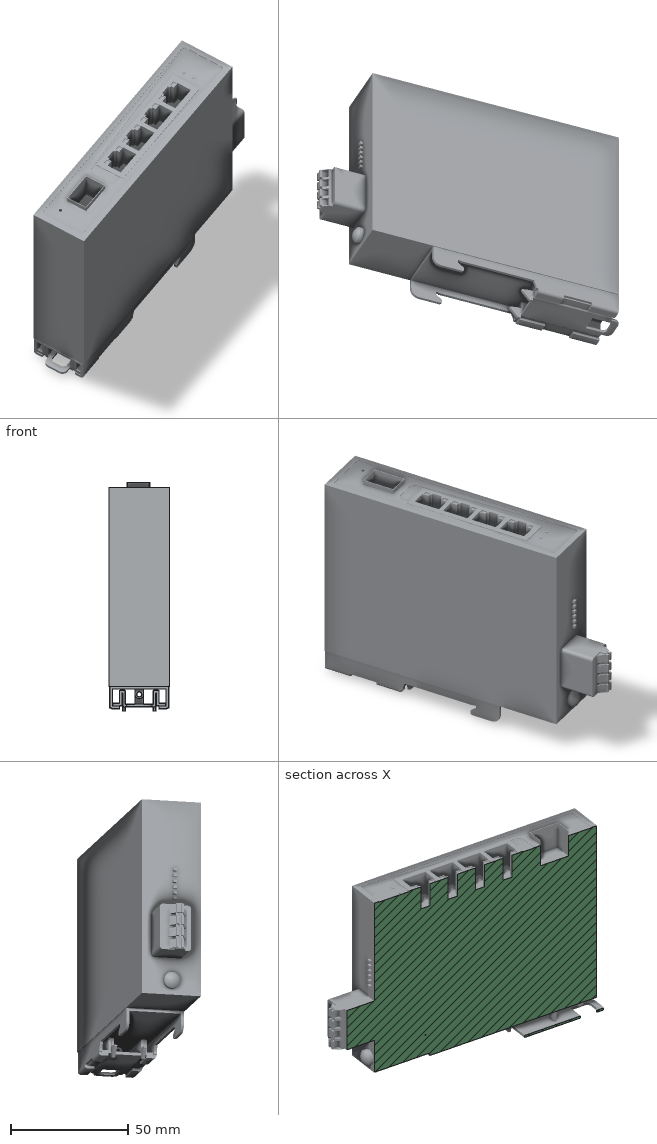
import cadquery as cq
import math

OVERALL_LENGTH = 137.4
WIDTH = 26.0
DEPTH = 114.3
HEIGHT = 85.0

PANEL_HALF_WIDTH = 10.6
PANEL_FRONT = 2.7
PANEL_BACK = 111.8
PANEL_CORNER = 1.2
LABEL_STEP = 0.1
TAPER_FRONT = 32.1
TAPER_HALF_FRONT = 6.3
TAPER_CORNER = 2.5
TAPER_BACK_INSET = 0.1
LAMP_DIAMETER = 1.4
LAMP_PLACES = [(-2.7, 100.4), (2.3, 100.4)]
RESET_PLACE = (-4.8, 8.7)
RESET_DEPTH = 2.7

FRAME_LEFT = -5.6
FRAME_RIGHT = 7.8
FRAME_FRONT = 37.6
FRAME_BACK = 96.6
JACK_COUNT = 4
JACK_PITCH = 14.0
FIRST_JACK_Y = 45.9
JACK_LENGTH = 12.0
JACK_LEFT = -1.5
JACK_RIGHT = 5.2
JACK_DEPTH = 11.0
KEY_LEFT = -3.0
KEY_LENGTH = 6.0
LATCH_LEFT = -4.0
LATCH_LENGTH = 4.4
JACK_LAMP_LEFT = -3.6
JACK_LAMP_LENGTH = 2.2
JACK_LAMP_OFFSET = 4.5
JACK_LAMP_GAP = 0.3
JACK_LAMP_DROP = 0.4

CAGE_LEFT = -5.2
CAGE_RIGHT = 4.5
CAGE_FRONT = 14.3
CAGE_BACK = 29.0
CAGE_RISE = 2.0
CAGE_WALL = 0.3
CAGE_DEPTH = 12.4

PLUG_LEFT = -5.2
PLUG_RIGHT = 8.9
PLUG_BOTTOM = 16.1
PLUG_TOP = 36.0
PLUG_BACK = 128.5
PLUG_STEP_BACK = 129.7
PLUG_CORNER = 1.5
RIDGE_BACK = 132.6
RIDGE_LEFT = -2.3
RIDGE_KNEE = 130.0
CREST_LEFT = -0.7
POCKET_FLOOR = -0.1
CREST_RIGHT = 2.3
RAMP_FOOT = 5.1
RIDGE_INSET = 0.3
TERMINAL_COUNT = 4
TERMINAL_PITCH = 5.1
TERMINAL_HEIGHT = 3.8
PRONG_WIDTH = 1.0

PIN_COUNT = 6
PIN_SPAN = 12.6
PIN_X = -1.4
PIN_TOP = 54.8
PIN_WIDTH = 1.6
PIN_HEIGHT = 1.2
PIN_LENGTH = 1.2
SCREW_Z = 6.0
SCREW_RADIUS = 3.6
SCREW_RIM = 1.8
SCREW_LENGTH = 3.7

SHEET = 1.2
BRACKET_HALF = 12.6
BRACKET_FRONT = -0.1
BRACKET_BACK = 86.0
WALL_BOTTOM = -8.0
LIP_BOTTOM = -9.6
LIP_INNER = 8.4
LIP_SPANS = [(BRACKET_FRONT, 12.2), (25.3, 37.1)]
HOOK_BOTTOM = -9.2
HOOK_RADIUS = 3.8
RAIL_SEAT = -4.1
HOOK_RELIEF = 0.3
HOOK_RELIEF_LENGTH = 1.4
HOOK_ROOT = (74.5, -5.4)
HOOK_TIP_Y = 71.7
HOOK_TIP_TOP = -7.3
HOOK_TIP_BOTTOM = -8.7
HOOK_TIP_BEVEL = 0.5
SEAT_FRONT = 39.2
SEAT_FOOT = (38.2, -6.9)

TRAY_TOP = -7.5
LEG_INNER = 5.9
FOLD_TOP = -1.6
FOLD_SLIT = 0.1
FLANGE_OUTER = 11.3
SLIDER_FRONT = 0.4
SLIDER_BACK = 37.1
LATCH_BOTTOM = -10.6
LATCH_TOP = -5.4
LATCH_TIP_FRONT = 37.5
LATCH_TIP_BACK = 38.7
LATCH_BACK = 42.5
LATCH_NOSE_TOP = -5.9
LATCH_NOSE_BOTTOM = -6.5
PULL_LENGTH = 3.8
PULL_HALF = 5.4
PULL_CORNER = 2.5
PULL_HOLE_HALF = 3.7
PULL_HOLE_FRONT = -1.0
PULL_HOLE_BACK = 8.2
PULL_HOLE_CHAMFER = 1.2
LUG_WIDTH = 3.7
LUG_HOLE = 2.0
LUG_Z = -3.5
ROOF_LUG_Y = 5.5
TRAY_LUG_Y = 19.2


def block(x0, x1, y0, y1, z0, z1):
    """Box between two opposite corners."""
    return cq.Workplane("XY").box(x1 - x0, y1 - y0, z1 - z0, centered=False).translate((x0, y0, z0))


def plate_yz(points, x0, x1):
    """Straight-sided (Y, Z) outline extruded from x0 to x1."""
    return cq.Workplane("YZ").polyline(points).close().extrude(x1 - x0).translate((x0, 0, 0))


def prism_xy(points, z0, z1):
    """Straight-sided (X, Y) outline extruded from z0 to z1."""
    return cq.Workplane("XY").polyline(points).close().extrude(z1 - z0).translate((0, 0, z0))


def both_sides(half):
    """The shape together with its mirror image across X = 0."""
    return half.union(half.mirror("YZ"))


def make_housing():
    body = block(-WIDTH / 2, WIDTH / 2, 0, DEPTH, 0, HEIGHT)
    panel = block(-PANEL_HALF_WIDTH, PANEL_HALF_WIDTH, PANEL_FRONT, PANEL_BACK, HEIGHT - LABEL_STEP, HEIGHT)
    panel = panel.edges("|Z").fillet(PANEL_CORNER)

    taper_half_back = PANEL_HALF_WIDTH - TAPER_BACK_INSET
    taper_back = PANEL_BACK - TAPER_BACK_INSET
    taper = prism_xy(
        [
            (-TAPER_HALF_FRONT, TAPER_FRONT),
            (TAPER_HALF_FRONT, TAPER_FRONT),
            (taper_half_back, taper_back),
            (-taper_half_back, taper_back),
        ],
        HEIGHT - 2 * LABEL_STEP,
        HEIGHT,
    )
    taper = taper.edges("|Z and <Y").fillet(TAPER_CORNER).edges("|Z and >Y").fillet(PANEL_CORNER)

    frame = block(FRAME_LEFT, FRAME_RIGHT, FRAME_FRONT, FRAME_BACK, HEIGHT - 2 * LABEL_STEP, HEIGHT)
    lamps = (
        cq.Workplane("XY", origin=(0, 0, HEIGHT - 2 * LABEL_STEP))
        .pushPoints(LAMP_PLACES)
        .circle(LAMP_DIAMETER / 2)
        .extrude(2 * LABEL_STEP)
    )
    reset_hole = (
        cq.Workplane("XY", origin=(0, 0, HEIGHT))
        .center(*RESET_PLACE)
        .circle(LAMP_DIAMETER / 2)
        .extrude(-RESET_DEPTH)
    )
    return body.cut(panel).cut(taper).union(frame).union(lamps).cut(reset_hole)


def jack_opening(y):
    """Keyed socket centred on y, with its two sunken indicator windows."""
    floor = HEIGHT - JACK_DEPTH

    def slot(left, length):
        return block(left, JACK_RIGHT, y - length / 2, y + length / 2, floor, HEIGHT)

    opening = slot(JACK_LEFT, JACK_LENGTH)
    opening = opening.union(slot(KEY_LEFT, KEY_LENGTH))
    opening = opening.union(slot(LATCH_LEFT, LATCH_LENGTH))
    for side in (-1, 1):
        middle = y + side * JACK_LAMP_OFFSET
        window = block(
            JACK_LAMP_LEFT,
            JACK_LEFT - JACK_LAMP_GAP,
            middle - JACK_LAMP_LENGTH / 2,
            middle + JACK_LAMP_LENGTH / 2,
            HEIGHT - JACK_LAMP_DROP,
            HEIGHT,
        )
        opening = opening.union(window)
    return opening


def add_cage(body):
    rim = HEIGHT + CAGE_RISE
    cage = block(CAGE_LEFT, CAGE_RIGHT, CAGE_FRONT, CAGE_BACK, HEIGHT - LABEL_STEP, rim)
    bore = block(
        CAGE_LEFT + CAGE_WALL,
        CAGE_RIGHT - CAGE_WALL,
        CAGE_FRONT + CAGE_WALL,
        CAGE_BACK - CAGE_WALL,
        rim - CAGE_DEPTH,
        rim,
    )
    return body.union(cage).cut(bore)


def make_plug():
    """Pluggable terminal block with one two-pronged finger per terminal."""
    plug = block(PLUG_LEFT, PLUG_RIGHT, DEPTH, PLUG_BACK, PLUG_BOTTOM, PLUG_TOP)
    plug = plug.edges("|Y").fillet(PLUG_CORNER)
    shoulder = block(RIDGE_LEFT, PLUG_RIGHT, DEPTH, PLUG_STEP_BACK, PLUG_BOTTOM, PLUG_TOP)
    shoulder = shoulder.edges("|Y and >X").fillet(PLUG_CORNER)
    ridge = prism_xy(
        [
            (RIDGE_LEFT, PLUG_BACK),
            (RIDGE_LEFT, RIDGE_KNEE),
            (CREST_LEFT, RIDGE_BACK - RIDGE_INSET),
            (CREST_RIGHT, RIDGE_BACK - RIDGE_INSET),
            (CREST_RIGHT, PLUG_BACK),
        ],
        PLUG_BOTTOM,
        PLUG_TOP,
    )
    plug = plug.union(shoulder).union(ridge)

    finger_outline = [
        (RIDGE_LEFT, PLUG_BACK),
        (RIDGE_LEFT, RIDGE_KNEE),
        (POCKET_FLOOR, RIDGE_KNEE),
        (POCKET_FLOOR, RIDGE_BACK),
        (CREST_RIGHT, RIDGE_BACK),
        (RAMP_FOOT, PLUG_STEP_BACK),
        (RAMP_FOOT, PLUG_BACK),
    ]
    plug_end = OVERALL_LENGTH - PULL_LENGTH
    first_z = (PLUG_BOTTOM + PLUG_TOP - (TERMINAL_COUNT - 1) * TERMINAL_PITCH) / 2
    for i in range(TERMINAL_COUNT):
        low = first_z + i * TERMINAL_PITCH - TERMINAL_HEIGHT / 2
        high = low + TERMINAL_HEIGHT
        plug = plug.cut(block(RIDGE_LEFT, POCKET_FLOOR, RIDGE_KNEE, RIDGE_BACK, low, high))
        plug = plug.union(prism_xy(finger_outline, low, high))
        for left in (CREST_LEFT, CREST_RIGHT - PRONG_WIDTH):
            plug = plug.union(block(left, left + PRONG_WIDTH, RIDGE_BACK, plug_end, low, high))
    return plug


def make_pins():
    pins = cq.Workplane("XY")
    for i in range(PIN_COUNT):
        z = PIN_TOP - i * PIN_SPAN / (PIN_COUNT - 1)
        pin = block(
            PIN_X - PIN_WIDTH / 2,
            PIN_X + PIN_WIDTH / 2,
            DEPTH,
            DEPTH + PIN_LENGTH,
            z - PIN_HEIGHT / 2,
            z + PIN_HEIGHT / 2,
        )
        pins = pins.union(pin)
    return pins


def make_screw():
    """Domed screw head, revolved about its Y axis."""
    dome_rise = SCREW_LENGTH - SCREW_RIM
    dome_radius = (SCREW_RADIUS**2 + dome_rise**2) / (2 * dome_rise)
    half_angle = math.asin(SCREW_RADIUS / dome_radius) / 2
    dome_middle = (
        dome_radius * math.sin(half_angle),
        SCREW_LENGTH - dome_radius * (1 - math.cos(half_angle)),
    )
    head = (
        cq.Workplane("XY")
        .lineTo(SCREW_RADIUS, 0)
        .lineTo(SCREW_RADIUS, SCREW_RIM)
        .threePointArc(dome_middle, (0, SCREW_LENGTH))
        .close()
        .revolve(360, (0, 0), (0, 1))
    )
    return head.translate((0, DEPTH, SCREW_Z))


def make_bracket():
    """Roof and two side walls, each wall with a rail hook and two inward lips."""
    roof = block(-BRACKET_HALF, BRACKET_HALF, BRACKET_FRONT, BRACKET_BACK, -SHEET, 0)
    corner = HOOK_RADIUS * (1 - math.sqrt(0.5))
    root_y = HOOK_ROOT[0]
    wall = (
        cq.Workplane("YZ")
        .moveTo(BRACKET_FRONT, 0)
        .lineTo(BRACKET_BACK, 0)
        .lineTo(BRACKET_BACK, HOOK_BOTTOM + HOOK_RADIUS)
        .threePointArc((BRACKET_BACK - corner, HOOK_BOTTOM + corner), (BRACKET_BACK - HOOK_RADIUS, HOOK_BOTTOM))
        .lineTo(HOOK_TIP_Y + HOOK_TIP_BEVEL, HOOK_BOTTOM)
        .lineTo(HOOK_TIP_Y, HOOK_TIP_BOTTOM)
        .lineTo(HOOK_TIP_Y, HOOK_TIP_TOP)
        .lineTo(*HOOK_ROOT)
        .lineTo(root_y, RAIL_SEAT + HOOK_RELIEF)
        .lineTo(root_y - HOOK_RELIEF_LENGTH, RAIL_SEAT + HOOK_RELIEF)
        .lineTo(root_y - HOOK_RELIEF_LENGTH, RAIL_SEAT)
        .lineTo(SEAT_FRONT, RAIL_SEAT)
        .lineTo(*SEAT_FOOT)
        .lineTo(SEAT_FOOT[0], WALL_BOTTOM)
        .lineTo(BRACKET_FRONT, WALL_BOTTOM)
        .close()
        .extrude(SHEET)
        .translate((BRACKET_HALF - SHEET, 0, 0))
    )
    for front, back in LIP_SPANS:
        lip = block(LIP_INNER, BRACKET_HALF, front, back, LIP_BOTTOM, WALL_BOTTOM)
        lip = lip.cut(block(LIP_INNER, BRACKET_HALF - SHEET, front, back, LIP_BOTTOM + SHEET, WALL_BOTTOM))
        wall = wall.union(lip.edges("|Y and >X and <Z").fillet(SHEET))
    return roof.union(both_sides(wall))


def make_slider():
    """Tray with folded legs that rest on the lips, latch teeth and a pull ring."""
    tray_bottom = TRAY_TOP - SHEET
    leg_outer = LEG_INNER + 2 * SHEET + FOLD_SLIT
    flange_bottom = LIP_BOTTOM + SHEET
    flange_top = flange_bottom + SHEET

    tray = block(-LEG_INNER, LEG_INNER, SLIDER_FRONT, SLIDER_BACK, tray_bottom, TRAY_TOP)
    fold = block(LEG_INNER, leg_outer, SLIDER_FRONT, SLIDER_BACK, flange_bottom, FOLD_TOP)
    fold = fold.edges("|Y and >Z").fillet(SHEET / 2)
    slit_left = LEG_INNER + SHEET
    slit = block(slit_left, slit_left + FOLD_SLIT, SLIDER_FRONT, SLIDER_BACK, tray_bottom, FOLD_TOP - SHEET)
    bend = block(0, slit_left, SLIDER_FRONT, SLIDER_BACK, tray_bottom, TRAY_TOP)
    bend = bend.edges("|Y and >X and <Z").fillet(SHEET / 2)
    flange = block(slit_left + FOLD_SLIT, FLANGE_OUTER, SLIDER_FRONT, SLIDER_BACK, flange_bottom, flange_top)
    tooth = plate_yz(
        [
            (SLIDER_BACK, TRAY_TOP),
            (LATCH_TIP_FRONT, LATCH_BOTTOM),
            (LATCH_TIP_BACK, LATCH_BOTTOM),
            (LATCH_BACK, LATCH_NOSE_BOTTOM),
            (LATCH_BACK, LATCH_NOSE_TOP),
            (SEAT_FRONT, LATCH_TOP),
            (SLIDER_BACK, LATCH_TOP),
        ],
        LEG_INNER,
        slit_left,
    )
    side = fold.cut(slit).union(bend).union(flange).union(tooth)

    pull = block(-PULL_HALF, PULL_HALF, -PULL_LENGTH, SLIDER_FRONT, tray_bottom, TRAY_TOP)
    pull = pull.edges("|Z and <Y").fillet(PULL_CORNER)
    finger_hole = block(
        -PULL_HOLE_HALF, PULL_HOLE_HALF, PULL_HOLE_FRONT, PULL_HOLE_BACK, tray_bottom, TRAY_TOP
    )
    finger_hole = finger_hole.edges("|Z and <Y").chamfer(PULL_HOLE_CHAMFER)
    return tray.union(both_sides(side)).union(pull).cut(finger_hole)


def spring_lug(y, root_z):
    """Round-ended drilled lug reaching from root_z to the spring axis."""
    half = LUG_WIDTH / 2
    eye = cq.Workplane("XZ", origin=(0, y, LUG_Z)).circle(half).extrude(-SHEET)
    neck = block(-half, half, y, y + SHEET, min(root_z, LUG_Z), max(root_z, LUG_Z))
    hole = cq.Workplane("XZ", origin=(0, y, LUG_Z)).circle(LUG_HOLE / 2).extrude(-SHEET)
    return eye.union(neck).cut(hole)


result = make_housing()
for jack in range(JACK_COUNT):
    result = result.cut(jack_opening(FIRST_JACK_Y + jack * JACK_PITCH))
result = add_cage(result)
for piece in (
    make_plug(),
    make_pins(),
    make_screw(),
    make_bracket(),
    make_slider(),
    spring_lug(ROOF_LUG_Y, -SHEET),
    spring_lug(TRAY_LUG_Y, TRAY_TOP),
):
    result = result.union(piece)